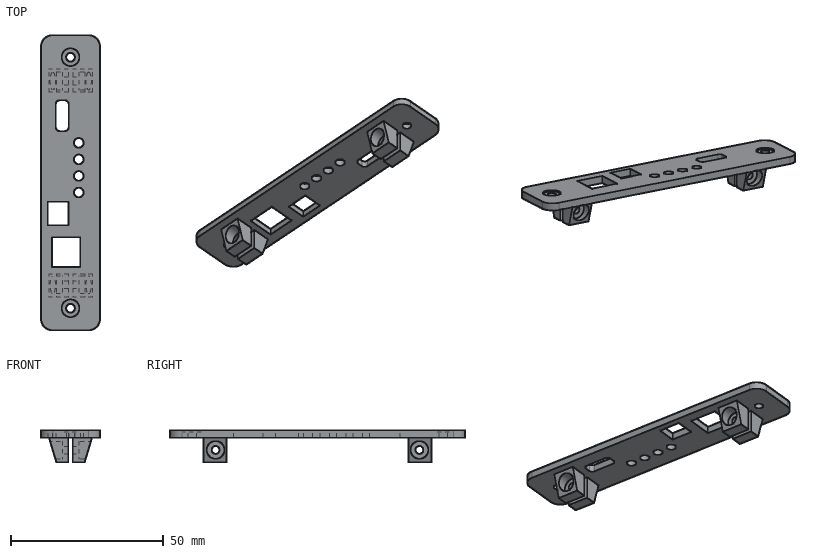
import cadquery as cq

plate_width = 19.5
plate_length = 97
plate_thickness = 2.5
corner_radius = 3.9

screw_offset_y = 41.2
screw_hole_diameter = 2.8
screw_head_diameter = 5.8
screw_head_depth = 0.5

indicator_diameter = 3.1
indicator_count = 4
indicator_pitch = 5.4
indicator_x = 2.7
first_indicator_y = 13.1

slot_size = (4.2, 10.1)
slot_center = (-2.7, 22.0)
slot_corner_radius = 1.3
small_window_size = (6.8, 7.7)
small_window_center = (-4.1, -10.1)
large_window_size = (9.2, 9.7)
large_window_center = (-1.5, -22.8)

total_height = 10.6
lug_offset_y = 33.7
lug_hole_offset_y = 33.5
lug_length_y = 7.6
lug_gap = 1.5
lug_root_x = 7.1
lug_tip_x = 4.7
lug_hole_z = -6.5
lug_hole_diameter = 2.5
lug_recess_diameter = 5.8
lug_recess_floor_x = 2.7


def opening(size, center):
    """Rectangular cutter through the full plate thickness."""
    return (
        cq.Workplane("XY", origin=(*center, -plate_thickness))
        .rect(*size)
        .extrude(plate_thickness)
    )


def make_plate():
    """Rounded plate with its screw holes, indicator holes and openings."""
    plate = (
        cq.Workplane("XY")
        .rect(plate_width, plate_length)
        .extrude(-plate_thickness)
        .edges("|Z")
        .fillet(corner_radius)
    )
    plate = (
        plate.faces(">Z").workplane(origin=(0, 0, 0))
        .pushPoints([(0, screw_offset_y), (0, -screw_offset_y)])
        .cboreHole(screw_hole_diameter, screw_head_diameter, screw_head_depth)
    )
    indicator_points = [
        (indicator_x, first_indicator_y - i * indicator_pitch)
        for i in range(indicator_count)
    ]
    plate = (
        plate.faces(">Z").workplane(origin=(0, 0, 0))
        .pushPoints(indicator_points)
        .hole(indicator_diameter)
    )
    slot = opening(slot_size, slot_center).edges("|Z").fillet(slot_corner_radius)
    plate = plate.cut(slot)
    plate = plate.cut(opening(small_window_size, small_window_center))
    return plate.cut(opening(large_window_size, large_window_center))


def make_lug_pair(center_y, hole_y):
    """Two mirrored lugs, cross-drilled and recessed on their sloping faces."""
    inner_x = lug_gap / 2
    lug = (
        cq.Workplane("XZ", origin=(0, center_y + lug_length_y / 2, 0))
        .polyline([
            (inner_x, -plate_thickness),
            (lug_root_x, -plate_thickness),
            (lug_tip_x, -total_height),
            (inner_x, -total_height),
        ])
        .close()
        .extrude(lug_length_y)
    )
    bore = (
        cq.Workplane("YZ", origin=(0, hole_y, lug_hole_z))
        .circle(lug_hole_diameter / 2)
        .extrude(lug_root_x)
    )
    recess = (
        cq.Workplane("YZ", origin=(lug_recess_floor_x, hole_y, lug_hole_z))
        .circle(lug_recess_diameter / 2)
        .extrude(lug_root_x - lug_recess_floor_x)
    )
    lug = lug.cut(bore).cut(recess)
    return lug.union(lug.mirror("YZ"))


result = make_plate()
for side in (1, -1):
    result = result.union(make_lug_pair(side * lug_offset_y, side * lug_hole_offset_y))